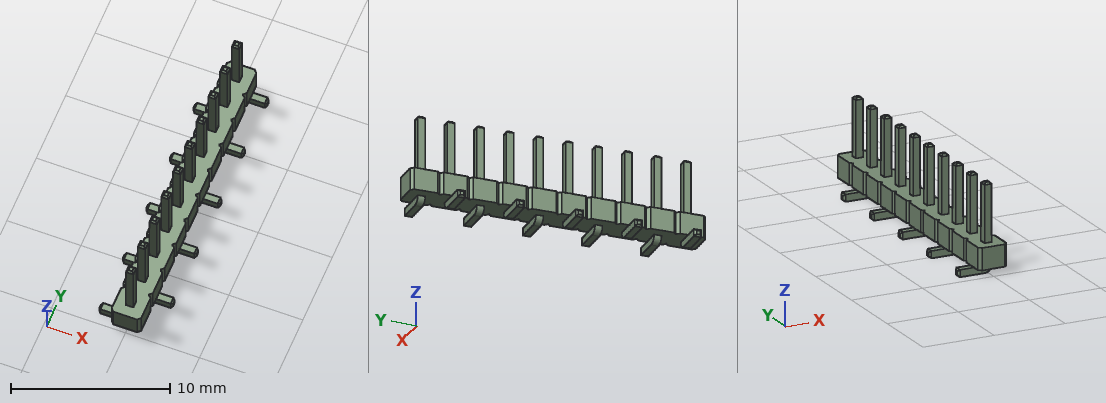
import cadquery as cq

pin_count = 10
pitch = 2.0

body_width = 2.0
body_height = 1.5
corner_chamfer = 0.2

pin_width = 0.5
pin_length = 4.0
foot_span = 4.2
tip_chamfer = pin_width / 4

body_top = pin_width + body_height
pin_top = body_top + pin_length
half_pin = pin_width / 2
pin_positions = [(i - (pin_count - 1) / 2) * pitch for i in range(pin_count)]


def make_body():
    """Join one chamfered block per pin; neighbouring chamfers form the side notches."""
    cell = cq.Workplane("XY").box(body_width, pitch, body_height, centered=(True, True, False))
    cell = cell.edges("|Z").chamfer(corner_chamfer)
    body = cq.Workplane("XY")
    for y in pin_positions:
        body = body.union(cell.translate((0, y, pin_width)))
    return body


def make_pin():
    """L-shaped square pin with its foot toward -X and the outside of the bend rounded."""
    post = (
        cq.Workplane("XY")
        .workplane(offset=pin_width)
        .rect(pin_width, pin_width)
        .extrude(pin_top - pin_width)
        .faces(">Z")
        .chamfer(tip_chamfer)
    )
    foot_length = foot_span / 2 + half_pin
    foot = (
        cq.Workplane("XY")
        .box(foot_length, pin_width, pin_width, centered=(False, True, False))
        .translate((-foot_span / 2, 0, 0))
        .faces("<X")
        .chamfer(tip_chamfer)
    )
    bend_corner = (
        cq.Workplane("XZ", origin=(0, half_pin, 0))
        .moveTo(half_pin, pin_width)
        .radiusArc((-half_pin, 0), pin_width)
        .lineTo(half_pin, 0)
        .close()
        .extrude(pin_width)
    )
    return post.union(foot.cut(bend_corner))


left_pin = make_pin()
right_pin = left_pin.mirror("YZ")

result = make_body()
for index, y in enumerate(pin_positions):
    pin = left_pin if index % 2 == 0 else right_pin
    result = result.union(pin.translate((0, y, 0)))